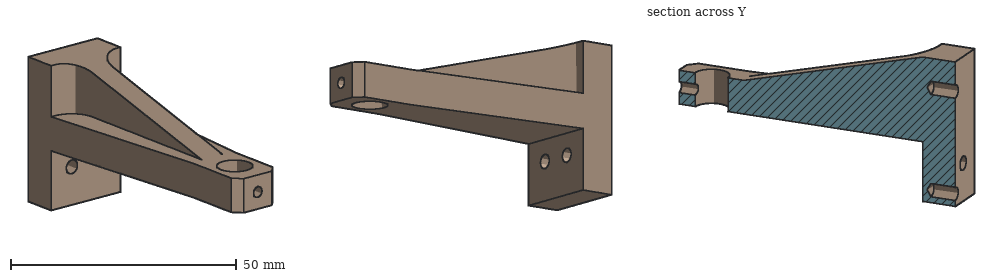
import cadquery as cq
import math

plate_thickness = 8.0
plate_width = 20.0
plate_height = 34.0

arm_length = 68.0
arm_bottom = 14.0
arm_thickness = 8.0
arm_top = arm_bottom + arm_thickness
arm_end_width = 12.0
taper_end_x = 53.25
taper_blend_radius = 6.8
end_chamfer = 2.0

rib_width = 6.0
rib_end_x = 52.0
rib_flare_radius = 6.0

bore_diameter = 8.0
bore_x = arm_length - bore_diameter
set_screw_diameter = 2.45
screw_diameter = 3.2
screw_spacing = 8.0
screw_z = 9.0
dowel_diameter = 3.0
dowel_depth = 6.0
dowel_heights = (3.0, 27.0)
drill_point_angle = 118.0


def make_plate():
    return cq.Workplane("XY").box(
        plate_thickness, plate_width, plate_height, centered=(False, True, False)
    )


def make_arm():
    root = plate_width / 2
    end = arm_end_width / 2
    taper_angle = math.atan2(root - end, taper_end_x - plate_thickness)
    tangent_length = taper_blend_radius * math.tan(taper_angle / 2)
    blend_start_x = taper_end_x - tangent_length * math.cos(taper_angle)
    blend_start_y = end + tangent_length * math.sin(taper_angle)
    blend_end_x = taper_end_x + tangent_length
    arm = (
        cq.Workplane("XY", origin=(0, 0, arm_bottom))
        .moveTo(plate_thickness, -root)
        .lineTo(blend_start_x, -blend_start_y)
        .radiusArc((blend_end_x, -end), taper_blend_radius)
        .lineTo(arm_length, -end)
        .lineTo(arm_length, end)
        .lineTo(blend_end_x, end)
        .radiusArc((blend_start_x, blend_start_y), taper_blend_radius)
        .lineTo(plate_thickness, root)
        .close()
        .extrude(arm_thickness)
    )
    return arm.edges("|Z").edges(">X").chamfer(end_chamfer)


def make_rib():
    side_profile = (
        cq.Workplane("XZ")
        .moveTo(plate_thickness, arm_top)
        .lineTo(rib_end_x, arm_top)
        .lineTo(plate_thickness, plate_height)
        .close()
        .extrude(plate_width / 2, both=True)
    )
    half = rib_width / 2
    flare_half = half + rib_flare_radius
    flare_end_x = plate_thickness + rib_flare_radius
    plan = (
        cq.Workplane("XY", origin=(0, 0, arm_top))
        .moveTo(plate_thickness, -flare_half)
        .radiusArc((flare_end_x, -half), rib_flare_radius)
        .lineTo(rib_end_x, -half)
        .lineTo(rib_end_x, half)
        .lineTo(flare_end_x, half)
        .radiusArc((plate_thickness, flare_half), rib_flare_radius)
        .close()
        .extrude(plate_height - arm_top)
    )
    return side_profile.intersect(plan)


def cylinder_along_x(diameter, start_x, length, y, z):
    return cq.Workplane("YZ", origin=(start_x, y, z)).circle(diameter / 2).extrude(length)


def dowel_hole(z):
    """Blind hole from the outer plate face, ending in a drill point."""
    radius = dowel_diameter / 2
    point_length = radius / math.tan(math.radians(drill_point_angle / 2))
    return (
        cq.Workplane("XY", origin=(0, 0, z))
        .lineTo(dowel_depth + point_length, 0)
        .lineTo(dowel_depth, radius)
        .lineTo(0, radius)
        .close()
        .revolve(360, (0, 0, 0), (1, 0, 0))
    )


result = make_plate().union(make_arm()).union(make_rib())

bore = (
    cq.Workplane("XY", origin=(bore_x, 0, arm_bottom))
    .circle(bore_diameter / 2)
    .extrude(arm_thickness)
)
arm_mid_z = arm_bottom + arm_thickness / 2
set_screw = cylinder_along_x(set_screw_diameter, bore_x, arm_length - bore_x, 0, arm_mid_z)
result = result.cut(bore).cut(set_screw)

for side in (-1, 1):
    screw_y = side * screw_spacing / 2
    result = result.cut(cylinder_along_x(screw_diameter, 0, plate_thickness, screw_y, screw_z))

for dowel_z in dowel_heights:
    result = result.cut(dowel_hole(dowel_z))